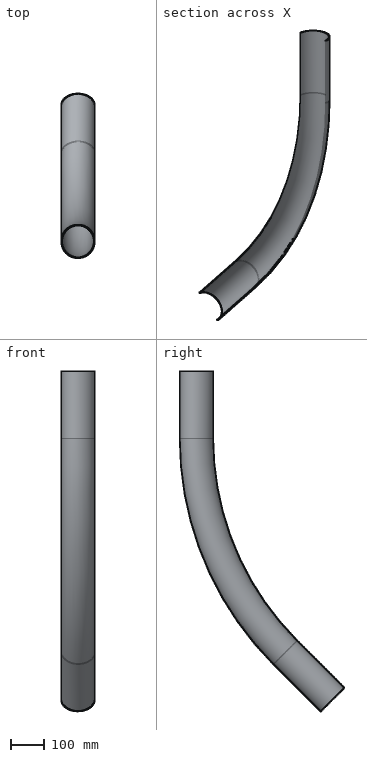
import cadquery as cq
import math

outer_diameter = 102.0
inner_diameter = 96.0

straight_length = 203.0
bend_radius = 915.0
bend_angle = 45.0


def point_on_bend(angle):
    """Centreline point (Y, Z) after bending down from vertical towards +Y."""
    turn = math.radians(angle)
    return (bend_radius * (1 - math.cos(turn)), -bend_radius * math.sin(turn))


def make_centreline():
    bend_end_y, bend_end_z = point_on_bend(bend_angle)
    final_turn = math.radians(bend_angle)
    lower_end = (
        bend_end_y + straight_length * math.sin(final_turn),
        bend_end_z - straight_length * math.cos(final_turn),
    )
    return (
        cq.Workplane("YZ")
        .moveTo(0, straight_length)
        .lineTo(0, 0)
        .threePointArc(point_on_bend(bend_angle / 2), (bend_end_y, bend_end_z))
        .lineTo(*lower_end)
    )


def make_tube():
    top_section = (
        cq.Workplane("XY", origin=(0, 0, straight_length))
        .circle(outer_diameter / 2)
        .circle(inner_diameter / 2)
    )
    return top_section.sweep(make_centreline())


result = make_tube()